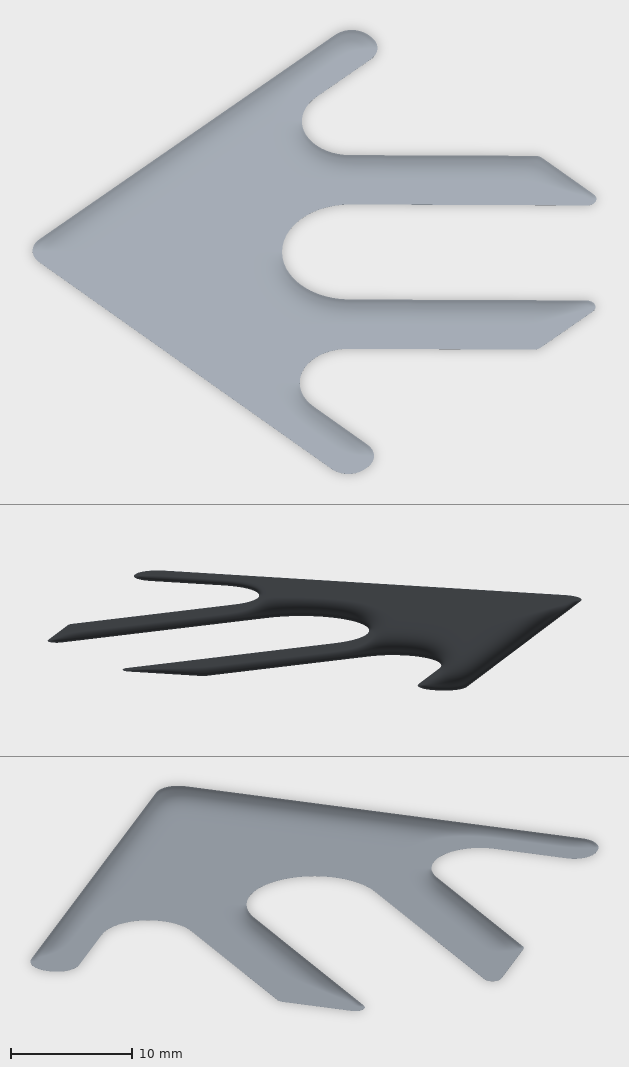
import cadquery as cq
import math

side = 38.1
thickness = 0.01

arm_width = 4.1
arm_corner_radius = 1.9

slot_radius = 5.6
slot_center = side / 2

notch_radius = 4.0
notch_center_along = 29.9
notch_center_across = arm_width + notch_radius

finger_tip_radius = 0.75

half_diagonal = math.sqrt(0.5)
overshoot = side / 2


def central_slot():
    """Round-ended slot running out through the open corner."""
    length = 2 * side
    reach = length / 2 * half_diagonal
    channel = (
        cq.Workplane("XY")
        .rect(length, 2 * slot_radius)
        .extrude(thickness)
        .rotate((0, 0, 0), (0, 0, 1), 45)
        .translate((slot_center + reach, slot_center + reach, 0))
    )
    round_end = (
        cq.Workplane("XY")
        .center(slot_center, slot_center)
        .circle(slot_radius)
        .extrude(thickness)
    )
    return channel.union(round_end)


def upper_notch():
    """Notch with a round bottom, one vertical wall and one 45 degree wall."""
    top = side + overshoot
    tangent_x = notch_center_across + notch_radius * half_diagonal
    tangent_y = notch_center_along - notch_radius * half_diagonal
    return (
        cq.Workplane("XY")
        .moveTo(arm_width, top)
        .lineTo(arm_width, notch_center_along)
        .threePointArc(
            (notch_center_across, notch_center_along - notch_radius),
            (tangent_x, tangent_y),
        )
        .lineTo(tangent_x + top - tangent_y, top)
        .close()
        .extrude(thickness)
    )


def round_corners(body, points, radius):
    """Round the vertical edges that pass through the given points."""
    reach = 0.05
    for x, y in points:
        corner = cq.selectors.BoxSelector(
            (x - reach, y - reach, -reach),
            (x + reach, y + reach, thickness + reach),
        )
        body = body.edges("|Z").edges(corner).fillet(radius)
    return body


notch = upper_notch()
mirrored_notch = notch.rotate((0, 0, 0), (1, 1, 0), 180).translate((0, 0, thickness))
plate = cq.Workplane("XY").box(side, side, thickness, centered=False)
plate = plate.cut(central_slot()).cut(notch).cut(mirrored_notch)

arm_corners = [(0, 0), (0, side), (arm_width, side), (side, 0), (side, arm_width)]
plate = round_corners(plate, arm_corners, arm_corner_radius)

inner_tip = side - slot_radius / half_diagonal
outer_tip = side - (notch_center_along - notch_center_across - notch_radius / half_diagonal)
finger_corners = [(inner_tip, side), (outer_tip, side), (side, inner_tip), (side, outer_tip)]
result = round_corners(plate, finger_corners, finger_tip_radius)